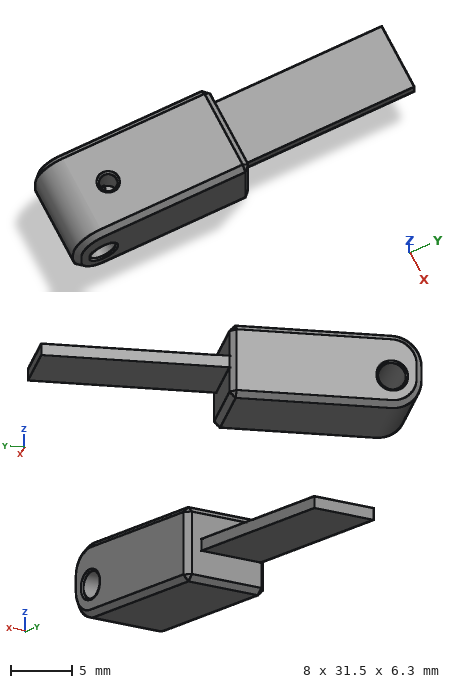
import cadquery as cq

total_length = 31.5
housing_width = 8.0
housing_length = 15.9
housing_height = 6.3
nose_radius = 2.52
edge_chamfer = 0.5
front_y = -total_length / 2

cross_hole_diameter = 2.3
cross_hole_chamfer = 0.15
cross_hole_y = front_y + nose_radius
cross_hole_z = -0.5

top_hole_diameter = 1.5
top_hole_chamfer = 0.2
top_hole_floor_diameter = 1.0
top_hole_y = front_y + 4.9

blade_width = 6.0
blade_thickness = 1.0
blade_x = -0.47
blade_start_y = front_y + 4.0
blade_length = total_length / 2 - blade_start_y


def make_blade():
    return (
        cq.Workplane("XY")
        .box(blade_width, blade_length, blade_thickness, centered=(True, False, True))
        .translate((blade_x, blade_start_y, 0))
    )


def cone(large_radius, small_radius, base, direction):
    """Truncated 45 degree cone that narrows along the given direction."""
    height = large_radius - small_radius
    return cq.Workplane(
        cq.Solid.makeCone(large_radius, small_radius, height, cq.Vector(*base), cq.Vector(*direction))
    )


def make_block():
    block = cq.Workplane("XY").box(
        housing_width, housing_length, housing_height, centered=(True, False, True)
    ).translate((0, front_y, 0))
    block = block.faces("<Y").edges("|X").fillet(nose_radius)
    return block.faces("<X or >X or >Y").edges().chamfer(edge_chamfer)


def make_cross_hole():
    radius = cross_hole_diameter / 2
    hole = (
        cq.Workplane("YZ")
        .center(cross_hole_y, cross_hole_z)
        .circle(radius)
        .extrude(housing_width / 2, both=True)
    )
    for side in (-1, 1):
        mouth = (side * housing_width / 2, cross_hole_y, cross_hole_z)
        hole = hole.union(cone(radius + cross_hole_chamfer, radius, mouth, (-side, 0, 0)))
    return hole


def cut_top_hole(block):
    radius = top_hole_diameter / 2
    floor_radius = top_hole_floor_diameter / 2
    top_z = housing_height / 2
    floor_z = blade_thickness / 2
    taper_z = floor_z + radius - floor_radius
    mouth = [(radius, top_z - top_hole_chamfer), (radius + top_hole_chamfer, top_z), (0, top_z)]

    def turn(profile, degrees):
        """Body of revolution about the hole axis; a half turn fills the +Y side."""
        return (
            cq.Workplane("XZ")
            .polyline(profile)
            .close()
            .revolve(degrees, (0, 0), (0, 1))
            .translate((0, top_hole_y, 0))
        )

    tapered = turn([(0, floor_z), (floor_radius, floor_z), (radius, taper_z), *mouth], 360)
    straight_half = turn([(0, floor_z), (radius, floor_z), (radius, taper_z), (0, taper_z)], 180)
    return block.cut(tapered).cut(straight_half)


blade = make_blade()
housing = cut_top_hole(make_block().cut(make_cross_hole()).cut(blade))

result = cq.Compound.makeCompound([*housing.solids().vals(), blade.val()])